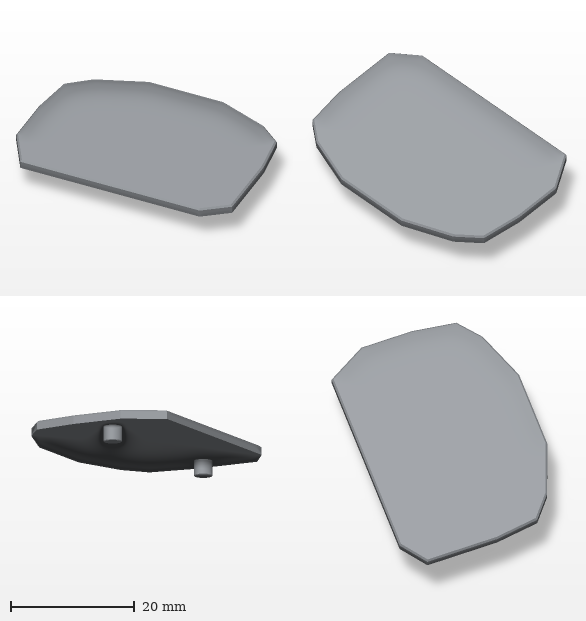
import cadquery as cq

plate_length = 40.0
plate_width = 28.7
plate_thickness = 1.5
top_chamfer = 0.3

back_flat_half = 6.65
shoulder_half = 15.1
shoulder_y = 11.2
flank_half = 18.95
flank_y = 8.1
side_top_y = 0.8

left_cut_x = 3.75
left_cut_y = 6.5
right_cut_x = 4.3
right_cut_y = 3.2

overall_height = 4.0
peg_height = overall_height - plate_thickness
peg_diameter = 3.0
peg_chamfer = 0.1
peg_spacing = 30.5
peg_y = -3.85

half_length = plate_length / 2
half_width = plate_width / 2


def make_plate():
    """Faceted plate with a chamfer around its upper edge."""
    back_right = [
        (half_length, side_top_y),
        (flank_half, flank_y),
        (shoulder_half, shoulder_y),
        (back_flat_half, half_width),
    ]
    back_left = [(-x, y) for x, y in reversed(back_right)]
    front = [
        (-half_length, -half_width + left_cut_y),
        (-half_length + left_cut_x, -half_width),
        (half_length - right_cut_x, -half_width),
        (half_length, -half_width + right_cut_y),
    ]
    outline = back_right + back_left + front
    plate = cq.Workplane("XY").polyline(outline).close().extrude(plate_thickness)
    return plate.faces(">Z").edges().chamfer(top_chamfer)


def make_peg(x):
    """Round peg hanging from the underside, chamfered at its free end."""
    peg = cq.Workplane("XY").center(x, peg_y).circle(peg_diameter / 2).extrude(-peg_height)
    return peg.faces("<Z").edges().chamfer(peg_chamfer)


result = make_plate()
for side in (-1, 1):
    result = result.union(make_peg(side * peg_spacing / 2))